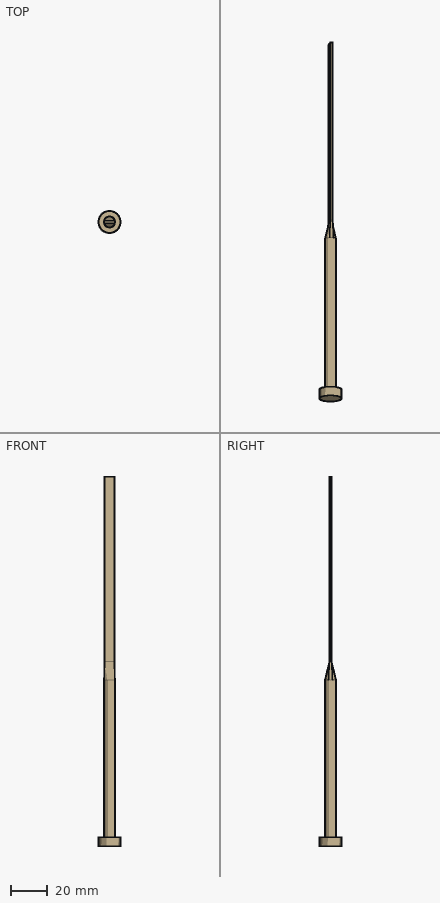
import cadquery as cq
import math

overall_length = 200.0
head_diameter = 12.0
head_height = 5.0
shank_diameter = 6.0
blade_length = 100.0
blade_width = 5.5
blade_thickness = 1.2
transition_length = 10.0
edge_arc_width = 2.2

blade_base_z = overall_length - blade_length
shank_top_z = blade_base_z - transition_length


def make_head():
    """Round head at the foot of the pin."""
    return cq.Workplane("XY").circle(head_diameter / 2).extrude(head_height)


def make_shank():
    """Round shank rising from the bottom of the head."""
    return cq.Workplane("XY").circle(shank_diameter / 2).extrude(shank_top_z)


def make_transition():
    """Ruled blend from the round shank to the blade.

    The shank circle is split into four arcs, one for each side of the blade rectangle.
    """
    radius = shank_diameter / 2
    corner_y = edge_arc_width / 2
    corner_x = math.sqrt(radius**2 - corner_y**2)
    half_width = blade_width / 2
    half_thickness = blade_thickness / 2

    shank_outline = (
        cq.Workplane("XY", origin=(0, 0, shank_top_z))
        .moveTo(corner_x, corner_y)
        .threePointArc((0, radius), (-corner_x, corner_y))
        .threePointArc((-radius, 0), (-corner_x, -corner_y))
        .threePointArc((0, -radius), (corner_x, -corner_y))
        .threePointArc((radius, 0), (corner_x, corner_y))
        .close()
    )
    both_outlines = (
        shank_outline.workplane(offset=transition_length)
        .moveTo(half_width, half_thickness)
        .lineTo(-half_width, half_thickness)
        .lineTo(-half_width, -half_thickness)
        .lineTo(half_width, -half_thickness)
        .close()
    )
    return both_outlines.loft(ruled=True)


def make_blade():
    """Thin flat blade, wide along X."""
    return (
        cq.Workplane("XY", origin=(0, 0, blade_base_z))
        .rect(blade_width, blade_thickness)
        .extrude(blade_length)
    )


result = make_head().union(make_shank()).union(make_transition()).union(make_blade())